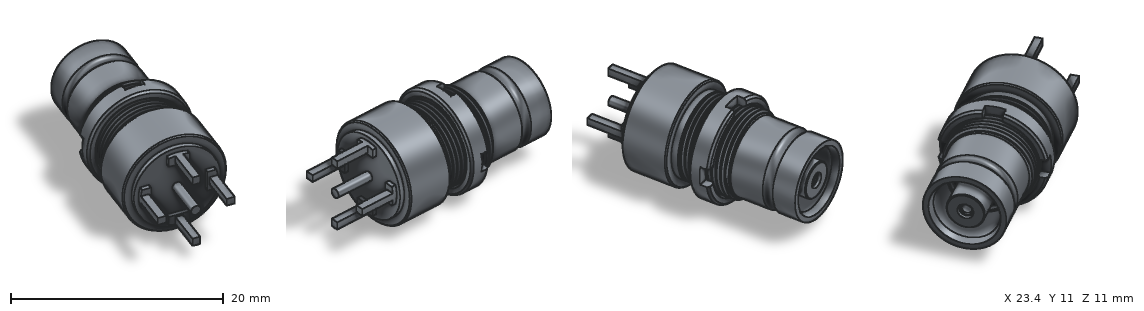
import cadquery as cq
import math


groove_start = 2.5
groove_end = 3.63
thread_start = 7.22
thread_end = 12.93
flange_start = 13.65
flange_end = 18.65
back_face = 19.17
pad_end = 19.63
side_pin_end = 23.43
centre_pin_end = 23.35

barrel_radius = 8.25 / 2
groove_depth = 0.35
collar_radius = 9.0 / 2
flange_radius = 10.8 / 2
flange_chamfer = 0.15

root_radius = 4.22
crest_width = 0.07
ridge_root_width = 0.35
first_crest = 7.7
last_crest = 12.7
crest_steps = 10
pitch = (last_crest - first_crest) / crest_steps
run_in_turns = 2
run_out_turns = 3
ridge_sink = 0.12

mouth_radius = 3.55
bore_radius = 6.6 / 2
ledge_radius = 6.19 / 2
mouth_depth = 0.73
ledge_depth = 5.0
socket_depth = 5.62

post_radius = 3.8 / 2
post_front = 0.25
post_chamfer = 0.1
recess_radius = 1.6 / 2
recess_floor_radius = 1.5 / 2
recess_depth = 0.35
contact_radius = 1.0 / 2
contact_mouth_radius = 0.63
contact_depth = 1.87
cone_depth = contact_radius

pin_outer_radius = 4.0
pin_inner_offset = 3.15
pin_width = 0.8
pad_inner_offset = 2.93
pad_width = 2.18
centre_pin_radius = 1.0 / 2
side_pin_count = 4

nut_start = 8.85
nut_end = 11.08
nut_radius = 11.0 / 2
nut_bore_radius = 9.02 / 2
nut_chamfer = 0.23
slot_width = 2.05
slot_depth = 0.95
slot_count = 4


def revolve_about_x(profile):
    """Turn a closed (X, radius) outline about the X axis."""
    return profile.close().revolve(360, (0, 0, 0), (1, 0, 0))


def cylinder(start, end, radius):
    return cq.Workplane("YZ", origin=(start, 0, 0)).circle(radius).extrude(end - start)


def housing_body():
    groove_middle = (groove_start + groove_end) / 2
    outline = (
        cq.Workplane("XY")
        .moveTo(0, 0)
        .lineTo(0, barrel_radius)
        .lineTo(groove_start, barrel_radius)
        .threePointArc((groove_middle, barrel_radius - groove_depth), (groove_end, barrel_radius))
        .lineTo(thread_start, barrel_radius)
        .lineTo(thread_start + root_radius - barrel_radius, root_radius)
        .lineTo(thread_end, root_radius)
        .lineTo(thread_end, collar_radius)
        .lineTo(flange_start, collar_radius)
        .lineTo(flange_start, flange_radius - flange_chamfer)
        .lineTo(flange_start + flange_chamfer, flange_radius)
        .lineTo(flange_end - flange_chamfer, flange_radius)
        .lineTo(flange_end, flange_radius - flange_chamfer)
        .lineTo(flange_end, collar_radius)
        .lineTo(back_face, collar_radius)
        .lineTo(back_face, 0)
    )
    return revolve_about_x(outline)


def helical_bar(corners, turns):
    """Solid wound about Z whose section has the given (radius, Z) corners."""
    length = turns * pitch
    edges = [cq.Wire.makeHelix(pitch, length, radius).translate(cq.Vector(0, 0, z)) for radius, z in corners]
    faces = [
        cq.Face.makeRuledSurface(edge, next_edge)
        for edge, next_edge in zip(edges, edges[1:] + edges[:1])
    ]
    for z_end in (0, length):
        section = [cq.Vector(radius, 0, z_end + z) for radius, z in corners]
        faces.append(cq.Face.makeFromWires(cq.Wire.makePolygon(section, close=True)))
    return cq.Solid.makeSolid(cq.Shell.makeShell(faces))


def thread_ridge():
    """Right-handed helical ridge, trimmed to the thread length and its 45 degree lead-in."""
    turns = math.ceil((thread_end - thread_start) / pitch) + run_out_turns
    start = first_crest - run_in_turns * pitch
    height = collar_radius - root_radius
    base_radius = root_radius - ridge_sink
    flank = (ridge_root_width - crest_width) / 2
    base_half_width = crest_width / 2 + flank * (height + ridge_sink) / height
    corners = [
        (base_radius, -base_half_width),
        (collar_radius, -crest_width / 2),
        (collar_radius, crest_width / 2),
        (base_radius, base_half_width),
    ]
    ridge = (
        cq.Workplane(helical_bar(corners, turns))
        .rotate((0, 0, 0), (0, 1, 0), 90)
        .rotate((0, 0, 0), (1, 0, 0), 180)
        .translate((start, 0, 0))
    )
    envelope_radius = flange_radius
    envelope_bore = base_radius - ridge_sink
    lead_in = envelope_radius - barrel_radius
    envelope = (
        cq.Workplane("XY")
        .moveTo(thread_start, envelope_bore)
        .lineTo(thread_start, barrel_radius)
        .lineTo(thread_start + lead_in, envelope_radius)
        .lineTo(thread_end, envelope_radius)
        .lineTo(thread_end, envelope_bore)
    )
    return ridge.intersect(revolve_about_x(envelope))


def socket_cut():
    """Stepped socket with a tapered mouth, leaving the centre post standing."""
    cavity = (
        cq.Workplane("XY")
        .lineTo(0, mouth_radius)
        .lineTo(mouth_depth, bore_radius)
        .lineTo(ledge_depth, bore_radius)
        .lineTo(ledge_depth, ledge_radius)
        .lineTo(socket_depth, ledge_radius)
        .lineTo(socket_depth, post_radius)
        .lineTo(post_front + post_chamfer, post_radius)
        .lineTo(post_front, post_radius - post_chamfer)
        .lineTo(post_front, 0)
    )
    return revolve_about_x(cavity)


def contact_hole():
    """Tapered recess in the post, then a countersunk contact hole with a conical bottom."""
    floor = post_front + recess_depth
    bottom = post_front + contact_depth
    hole = (
        cq.Workplane("XY")
        .moveTo(post_front, 0)
        .lineTo(post_front, recess_radius)
        .lineTo(floor, recess_floor_radius)
        .lineTo(floor, contact_mouth_radius)
        .lineTo(floor + contact_mouth_radius - contact_radius, contact_radius)
        .lineTo(bottom, contact_radius)
        .lineTo(bottom + cone_depth, 0)
    )
    return revolve_about_x(hole)


def rear_block(end, inner_offset, width):
    """Block on the +Z side of the back face, rounded outside to the pin circle."""
    block = cq.Workplane("XY").box(
        end - back_face, width, pin_outer_radius - inner_offset, centered=(False, True, False)
    )
    return block.translate((back_face, 0, inner_offset)).intersect(cylinder(back_face, end, pin_outer_radius))


def rear_pins():
    centre_pin = cylinder(back_face, centre_pin_end, centre_pin_radius)
    side_pin = rear_block(side_pin_end, pin_inner_offset, pin_width).union(
        rear_block(pad_end, pad_inner_offset, pad_width)
    )
    pins = [centre_pin]
    for index in range(side_pin_count):
        pins.append(side_pin.rotate((0, 0, 0), (1, 0, 0), index * 360 / side_pin_count))
    return pins


def make_housing():
    housing = housing_body().union(thread_ridge()).cut(socket_cut()).cut(contact_hole())
    for pin in rear_pins():
        housing = housing.union(pin)
    return housing


def make_nut():
    bore_mouth_radius = nut_bore_radius + nut_chamfer
    outline = (
        cq.Workplane("XY")
        .moveTo(nut_start, bore_mouth_radius)
        .lineTo(nut_start, nut_radius - nut_chamfer)
        .lineTo(nut_start + nut_chamfer, nut_radius)
        .lineTo(nut_end - nut_chamfer, nut_radius)
        .lineTo(nut_end, nut_radius - nut_chamfer)
        .lineTo(nut_end, bore_mouth_radius)
        .lineTo(nut_end - nut_chamfer, nut_bore_radius)
        .lineTo(nut_start + nut_chamfer, nut_bore_radius)
    )
    nut = revolve_about_x(outline)
    slot = cq.Workplane("XY").box(slot_depth, slot_width, nut_radius, centered=(False, True, False))
    slot = slot.translate((nut_start, 0, 0))
    for index in range(slot_count):
        nut = nut.cut(slot.rotate((0, 0, 0), (1, 0, 0), index * 360 / slot_count))
    return nut


housing = make_housing()
nut = make_nut()

result = cq.Compound.makeCompound([housing.val(), nut.val()])